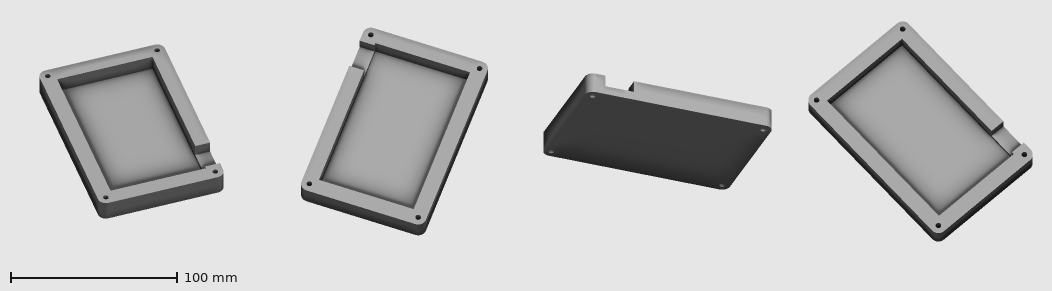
import cadquery as cq

length = 119.96
width = 79.53
height = 13.0
corner_radius = 5.0

wall = 9.5
floor_thickness = 3.0
pocket_length = length - 2 * wall
pocket_width = width - 2 * wall
pocket_depth = height - floor_thickness

hole_diameter = 3.4
hole_spacing_x = length - 2 * corner_radius
hole_spacing_y = width - 2 * corner_radius

notch_width = 18.5
notch_depth = 7.5
notch_end_gap = 1.6
notch_center_x = pocket_length / 2 - notch_end_gap - notch_width / 2
notch_center_y = (width - wall) / 2


def make_body():
    body = cq.Workplane("XY").rect(length, width).extrude(height)
    return body.edges("|Z").fillet(corner_radius)


def make_pocket():
    top = cq.Workplane("XY").workplane(offset=height)
    return top.rect(pocket_length, pocket_width).extrude(-pocket_depth)


def make_notch():
    top = cq.Workplane("XY").workplane(offset=height)
    return top.center(notch_center_x, notch_center_y).rect(notch_width, wall).extrude(-notch_depth)


def make_screw_holes():
    corners = cq.Workplane("XY").rect(hole_spacing_x, hole_spacing_y, forConstruction=True).vertices()
    return corners.circle(hole_diameter / 2).extrude(height)


result = make_body().cut(make_pocket()).cut(make_notch()).cut(make_screw_holes())